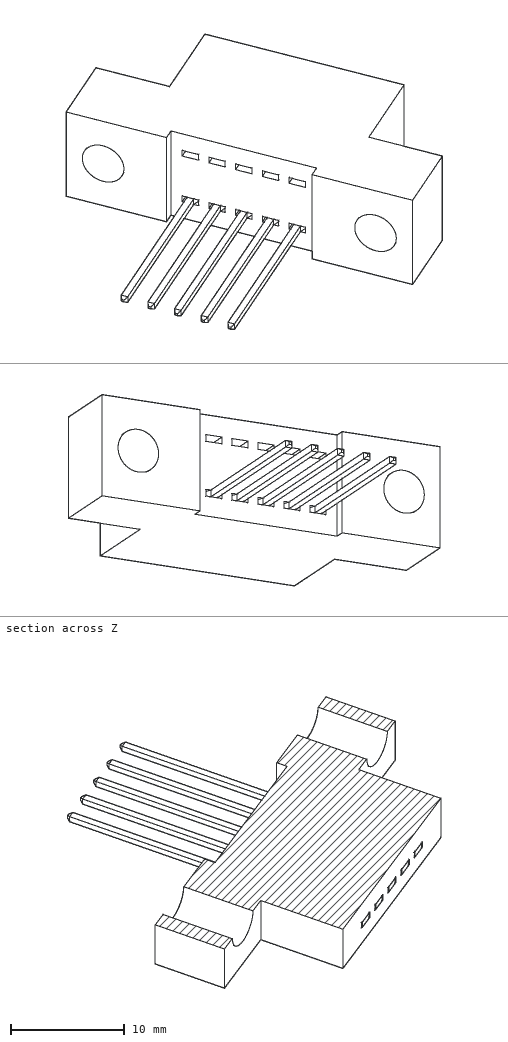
import cadquery as cq


flange_width = 33.02
housing_height = 9.4
flange_depth = 6.87
housing_depth = 15.0
rear_block_width = 19.0

recess_width = 13.87
recess_depth = 1.02

mount_hole_diameter = 3.95
mount_hole_spacing = 25.95

contact_count = 5
contact_pitch = 2.55
row_spacing = 5.1
slot_width = 1.55
slot_height = 0.63

tail_size = slot_height
tail_overhang = 14.45
tip_length = 0.33
tip_face_size = 0.23
blade_width = 1.22
shoulder_length = 0.75

lower_row_z = -row_spacing / 2
upper_row_z = row_spacing / 2
contact_xs = [(i - (contact_count - 1) / 2) * contact_pitch for i in range(contact_count)]
shoulder_rear_y = recess_depth + shoulder_length
tip_base_y = tip_length - tail_overhang


def block(width, y_start, y_end, height):
    """Box centred on X and Z, running from y_start to y_end."""
    return cq.Workplane("XY").box(width, y_end - y_start, height).translate((0, (y_start + y_end) / 2, 0))


def make_housing():
    flange = block(flange_width, 0, flange_depth, housing_height)
    rear_block = block(rear_block_width, flange_depth, housing_depth, housing_height)
    recess = block(recess_width, 0, recess_depth, housing_height)
    body = flange.union(rear_block).cut(recess)

    for x in (-mount_hole_spacing / 2, mount_hole_spacing / 2):
        hole = cq.Workplane("XZ").center(x, 0).circle(mount_hole_diameter / 2).extrude(-flange_depth)
        body = body.cut(hole)

    slot = block(slot_width, 0, housing_depth, slot_height)
    for z in (lower_row_z, upper_row_z):
        for x in contact_xs:
            body = body.cut(slot.translate((x, 0, z)))
    return body


def make_contact(x):
    half_tail = tail_size / 2
    half_blade = blade_width / 2
    shank_and_blade = (
        cq.Workplane("XY", origin=(0, 0, -tail_size / 2))
        .moveTo(-half_tail, tip_base_y)
        .lineTo(half_tail, tip_base_y)
        .lineTo(half_tail, recess_depth)
        .lineTo(half_blade, shoulder_rear_y)
        .lineTo(half_blade, housing_depth)
        .lineTo(-half_blade, housing_depth)
        .lineTo(-half_blade, shoulder_rear_y)
        .lineTo(-half_tail, recess_depth)
        .close()
        .extrude(tail_size)
    )
    tip = (
        cq.Workplane("XZ", origin=(0, tip_base_y, 0))
        .rect(tail_size, tail_size)
        .workplane(offset=tip_length)
        .rect(tip_face_size, tip_face_size)
        .loft(ruled=True)
    )
    return shank_and_blade.union(tip).translate((x, 0, lower_row_z))


housing = make_housing()
contacts = [make_contact(x) for x in contact_xs]

result = cq.Compound.makeCompound([housing.val(), *[contact.val() for contact in contacts]])